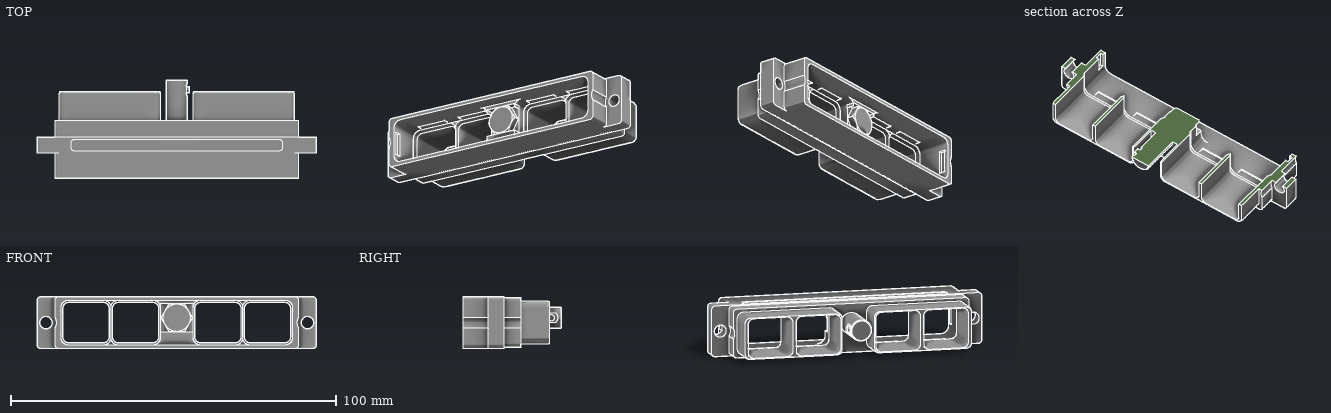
import cadquery as cq
import math

EPS = 0.01

flange_length = 85.89
front_height = 15.93
flange_front_y = 7.76
flange_back_y = 12.68
outer_radius = 1.1

body_length = 74.9
body_back_y = 17.85
rear_height = 15.3

screw_hole_diameter = 3.75
screw_hole_x = 40.2
screw_head_radius = 3.2

cavity_length = 71.3
cavity_height = 13.7
cavity_radius = 2.3
divider_front_y = 5.5
divider_width = 10.1
cavity_back_y = 10.8

window_length = 14.2
window_radius = 1.8
window_mouth_depth = 1.2
window_mouth_margin = 0.66
window_height = cavity_height - 2 * window_mouth_margin
window_inner_x = 12.65
window_outer_x = 27.9

shell_inner_x = 4.95
shell_outer_x = 36.2
shell_height = 13.3
shell_radius = 1.9
shell_back_y = 26.7
shell_lip_length = 0.8
shell_lip_inset = 0.2

shelf_z = -2.9
seat_top_z = 5.8
seat_y = 8.0

tube_z = 1.5
tube_radius = 3.3
tube_back_y = 30.35
tube_chamfer = 0.25
hex_across_flats = 8.4
hex_chamfer_radius = hex_across_flats / 2
hex_chamfer = 0.9

pin_y = 27.25
pin_radius = 0.95
pin_tip_x = 3.85
pin_pocket_radius = 1.95
pin_pocket_floor_x = 2.95

clip_length = 9.8
clip_width = 1.7
clip_depth = 0.4
clip_front_y = 8.2
clip_inner_x = 12.6
clip_outer_x = 27.3

end_groove_y = 2.25
end_groove_width = 2.0
end_groove_height = 7.2
end_groove_depth = 0.9

label_length = 65.0
label_front_y = 8.5
label_back_y = 12.0
label_radius = 1.0
label_depth = 0.2


def block(length, height, front_y, back_y, radius, x=0.0, z=0.0):
    """Box along Y, centred on (x, z), with its four long edges rounded."""
    depth = back_y - front_y
    box = cq.Workplane("XY").box(length, depth, height)
    box = box.edges("|Y").fillet(radius)
    return box.translate((x, (front_y + back_y) / 2, z))


def rod(radius, front_y, back_y, x=0.0, z=0.0):
    """Cylinder along Y."""
    return cq.Workplane("XZ", origin=(x, front_y, z)).circle(radius).extrude(front_y - back_y)


def make_housing():
    front = block(body_length, front_height, 0, flange_back_y, outer_radius)
    flange = block(flange_length, front_height, flange_front_y, flange_back_y, outer_radius)
    rear = block(body_length, rear_height, flange_back_y - EPS, body_back_y, outer_radius)
    return front.union(flange).union(rear)


def cut_screw_features(part):
    """Flange holes, and the end grooves that clear the screw heads."""
    for side in (-1, 1):
        x = side * screw_hole_x
        part = part.cut(rod(screw_hole_diameter / 2, flange_front_y, flange_back_y, x))
        part = part.cut(rod(screw_head_radius, 0, flange_front_y, x))
        part = part.cut(rod(screw_head_radius, flange_back_y, body_back_y, x))
    return part


def add_rear_shells(part):
    length = shell_outer_x - shell_inner_x
    x = (shell_outer_x + shell_inner_x) / 2
    for side in (-1, 1):
        shell = block(length, shell_height, body_back_y - EPS, shell_back_y, shell_radius, side * x)
        shell = shell.faces(">Y").chamfer(shell_lip_inset, shell_lip_length)
        part = part.union(shell)
    return part


def cut_cavity(part):
    """One wide mouth that splits into two bays around the central divider."""
    part = part.cut(block(cavity_length, cavity_height, 0, divider_front_y, cavity_radius))
    bay_length = (cavity_length - divider_width) / 2
    bay_x = (cavity_length + divider_width) / 4
    for side in (-1, 1):
        bay = block(bay_length, cavity_height, 0, cavity_back_y, cavity_radius, side * bay_x)
        part = part.cut(bay)
    return part


def make_window(x):
    """Rounded through opening with a tapered mouth."""
    window = block(window_length, window_height, cavity_back_y - EPS, shell_back_y, window_radius, x)
    mouth = block(
        window_length + 2 * window_mouth_margin,
        cavity_height,
        cavity_back_y,
        cavity_back_y + window_mouth_depth,
        window_radius + window_mouth_margin,
        x,
    )
    mouth = mouth.faces(">Y").chamfer(window_mouth_margin, window_mouth_depth - EPS)
    return window.union(mouth)


def make_clip_slots(x):
    """Wedge slots in the cavity floor and ceiling centred at x, deepest at the front."""
    surface_z = cavity_height / 2
    half_profile = [
        (clip_front_y, surface_z + clip_depth),
        (clip_front_y + clip_width, surface_z),
    ]
    mirrored = [(y, -z) for y, z in reversed(half_profile)]
    slots = cq.Workplane("YZ", origin=(x, 0, 0)).polyline(half_profile + mirrored).close()
    return slots.extrude(clip_length / 2, both=True)


def cut_windows(part):
    """Two windows in each bay, each with a pair of clip slots in front of it."""
    for side in (-1, 1):
        for window_x, clip_x in ((window_inner_x, clip_inner_x), (window_outer_x, clip_outer_x)):
            part = part.cut(make_window(side * window_x))
            part = part.cut(make_clip_slots(side * clip_x))
    return part


def cut_end_grooves(part):
    """Short upright grooves in both end walls of the cavity."""
    length = cavity_length + 2 * end_groove_depth
    groove = cq.Workplane("XY").box(length, end_groove_width, end_groove_height)
    return part.cut(groove.translate((0, end_groove_y, 0)))


def cut_coupling_seat(part):
    """Recess in the divider front, between the shelf and the bridge above it."""
    seat = cq.Workplane("XY").box(
        divider_width + 2 * EPS, seat_y - divider_front_y + EPS, seat_top_z - shelf_z
    )
    y = (divider_front_y + seat_y - EPS) / 2
    return part.cut(seat.translate((0, y, (seat_top_z + shelf_z) / 2)))


def add_coupling(part):
    """Solid round coupling with a chamfered hexagonal head and a side pin."""
    hex_corner_diameter = hex_across_flats / math.cos(math.pi / 6)
    head = cq.Workplane("XZ", origin=(0, divider_front_y, tube_z))
    head = head.polygon(6, hex_corner_diameter).extrude(-(seat_y - divider_front_y + EPS))
    blank = rod(hex_chamfer_radius + hex_chamfer, divider_front_y, seat_y + EPS, 0, tube_z)
    head = head.intersect(blank.faces("<Y").chamfer(hex_chamfer))

    tube = rod(tube_radius, seat_y, tube_back_y, 0, tube_z)
    tube = tube.faces(">Y").chamfer(tube_chamfer)
    side = cq.Workplane("YZ", origin=(pin_pocket_floor_x, pin_y, tube_z))
    pocket = side.circle(pin_pocket_radius).extrude(tube_radius)
    pin = side.workplane(offset=-EPS).circle(pin_radius)
    pin = pin.extrude(pin_tip_x - pin_pocket_floor_x + EPS)
    return part.union(head).union(tube.cut(pocket).union(pin))


def cut_label_recess(part):
    width = label_back_y - label_front_y
    recess = cq.Workplane("XY").box(label_length, width, 2 * label_depth)
    recess = recess.edges("|Z").fillet(label_radius)
    return part.cut(recess.translate((0, (label_front_y + label_back_y) / 2, front_height / 2)))


result = make_housing()
result = cut_screw_features(result)
result = add_rear_shells(result)
result = cut_cavity(result)
result = cut_windows(result)
result = cut_end_grooves(result)
result = cut_coupling_seat(result)
result = add_coupling(result)
result = cut_label_recess(result)